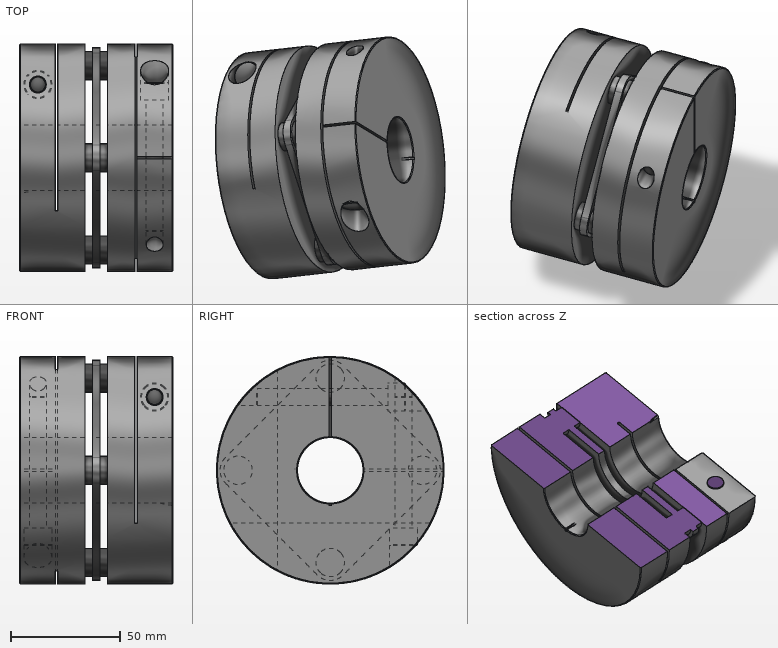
import cadquery as cq


total_length = 70.0
outer_diameter = 104
bore_diameter = 30.0
hub_length = 30.0
edge_chamfer = 0.4
gap = total_length - 2 * hub_length
middle_x = total_length / 2

slot_x = 16.3
cut_width = 1.0
slot_floor = -24.1
nick_radius = 16.0

screw_x = 8.3
screw_offset = 33.5
shank_diameter = 7.7
head_diameter = 12.8
head_face = 34.3
head_length = 8.0
tip_reach = 33.7
tip_chamfer = 0.4
head_chamfer = 0.4

disc_thickness = 3.5
corner_radius = 8.2
corner_offset = 42.1
spacer_diameter = 13.0
spacer_length = (gap - disc_thickness) / 2
corner_centres = [(corner_offset, 0), (0, corner_offset), (-corner_offset, 0), (0, -corner_offset)]


def cylinder_along_x(x_start, length, diameter, centres=((0, 0),)):
    return (
        cq.Workplane("YZ", origin=(x_start, 0, 0))
        .pushPoints(list(centres))
        .circle(diameter / 2)
        .extrude(length)
    )


def cylinder_on_screw_axis(z_start, length, diameter):
    return (
        cq.Workplane("XY", origin=(screw_x, screw_offset, z_start))
        .circle(diameter / 2)
        .extrude(length)
    )


def cut_block(x_start, x_length, y_start, z_height):
    """Make a block from y_start out to the +Y side, centred on the slit plane."""
    return (
        cq.Workplane("XY")
        .box(x_length, outer_diameter / 2 - y_start, z_height, centered=(False, False, True))
        .translate((x_start, y_start, 0))
    )


def make_hub():
    """Hub with its outer end at x = 0 and its clamp slit on the +Y side."""
    hub = cylinder_along_x(0, hub_length, outer_diameter)
    hub = hub.cut(cylinder_along_x(0, hub_length, bore_diameter))
    hub = hub.faces("<X").edges().chamfer(edge_chamfer)
    hub = hub.cut(cut_block(slot_x, cut_width, slot_floor, outer_diameter))
    hub = hub.cut(cut_block(0, slot_x, 0, cut_width))
    nick = cq.Workplane("XY").circle(nick_radius).extrude(cut_width / 2, both=True)
    hub = hub.cut(nick)

    screw_hole = cylinder_on_screw_axis(-outer_diameter / 2, outer_diameter, shank_diameter)
    head_floor = head_length - head_face
    head_recess = cylinder_on_screw_axis(head_floor, -outer_diameter / 2 - head_floor, head_diameter)
    return hub.cut(screw_hole).cut(head_recess)


def make_screw():
    """Cap screw across the slit, its head on the -Z side."""
    head = cylinder_on_screw_axis(-head_face, head_length, head_diameter)
    head = head.faces("<Z").edges().chamfer(head_chamfer)
    shank = cylinder_on_screw_axis(-head_face, head_face + tip_reach, shank_diameter)
    shank = shank.faces(">Z").edges().chamfer(tip_chamfer)
    return head.union(shank)


def place_at_far_end(body):
    """Mirror to the other end of the coupling and turn a quarter about the shaft axis."""
    return body.mirror("YZ", (middle_x, 0, 0)).rotate((0, 0, 0), (1, 0, 0), 90)


def make_disc_pack():
    """Square plate with round corners, and a spacer on both faces at each corner."""
    plate_x = middle_x - disc_thickness / 2
    plate = (
        cq.Workplane("YZ", origin=(plate_x, 0, 0))
        .polyline(corner_centres)
        .close()
        .offset2D(corner_radius)
        .extrude(disc_thickness)
    )
    plate = plate.cut(cylinder_along_x(plate_x, disc_thickness, bore_diameter))
    for spacer_x in (hub_length, plate_x + disc_thickness):
        plate = plate.union(cylinder_along_x(spacer_x, spacer_length, spacer_diameter, corner_centres))
    return plate


near_hub = make_hub()
near_screw = make_screw()

far_hub = place_at_far_end(make_hub()).union(make_disc_pack())
far_screw = place_at_far_end(make_screw())

result = cq.Compound.makeCompound([near_hub.val(), far_hub.val(), near_screw.val(), far_screw.val()])